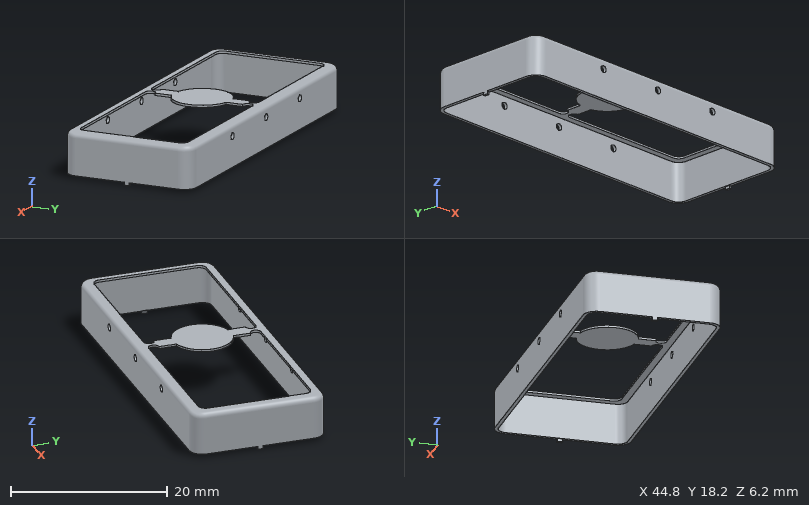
import cadquery as cq

length = 44.8
width = 18.2
total_height = 6.2
tab_height = 0.4
body_height = total_height - tab_height
corner_radius = 1.8
top_edge_radius = 0.75

wall = 0.5
lip_overhang = 1.0
lip_thickness = 0.3
cavity_radius = corner_radius - wall
opening_radius = 1.0
opening_length = length - 2 * (wall + lip_overhang)
opening_width = width - 2 * (wall + lip_overhang)

disc_diameter = 8.0
arm_width = 2.0
notch_diameter = 1.4

hole_diameter = 0.9
hole_spacing = 10.0
hole_depth_below_top = 1.6

tab_thickness = 0.35
tab_width = 0.7


def rounded_block(size_x, size_y, height, radius, bottom):
    """Block centred on the Z axis with rounded vertical edges."""
    block = cq.Workplane("XY").workplane(offset=bottom).rect(size_x, size_y).extrude(height)
    return block.edges("|Z").fillet(radius)


def make_frame():
    """Rounded rectangular rim with a lip around its top opening."""
    body = rounded_block(length, width, body_height, corner_radius, 0)
    body = body.faces(">Z").edges().fillet(top_edge_radius)
    cavity = rounded_block(
        length - 2 * wall,
        width - 2 * wall,
        body_height - lip_thickness,
        cavity_radius,
        0,
    )
    opening = rounded_block(opening_length, opening_width, body_height, opening_radius, 0)
    return body.cut(cavity).cut(opening)


def make_disc_and_arms():
    """Thin disc and arms, with round notches narrowing each arm at the lip."""
    plate = cq.Workplane("XY").workplane(offset=body_height - lip_thickness)
    disc = plate.circle(disc_diameter / 2).extrude(lip_thickness)
    arms = plate.rect(arm_width, opening_width).extrude(lip_thickness)
    notch_y = opening_width / 2 - notch_diameter / 2
    notches = (
        plate.rect(arm_width, 2 * notch_y, forConstruction=True)
        .vertices()
        .circle(notch_diameter / 2)
        .extrude(lip_thickness)
    )
    return disc.union(arms.cut(notches))


def make_wall_holes():
    """Row of three cylinders crossing both long walls."""
    return (
        cq.Workplane("XZ", origin=(0, 0, body_height - hole_depth_below_top))
        .rarray(hole_spacing, 0.45, 3, 1)
        .circle(hole_diameter / 2)
        .extrude(width / 2, both=True)
    )


def make_tabs():
    """Tabs flush with the outer faces of the short walls, reaching below them."""
    return (
        cq.Workplane("XY")
        .workplane(offset=-tab_height)
        .rarray(length - tab_thickness, 0.45, 2, 1)
        .rect(tab_thickness, tab_width)
        .extrude(tab_height)
    )


result = make_frame().union(make_disc_and_arms()).cut(make_wall_holes()).union(make_tabs())